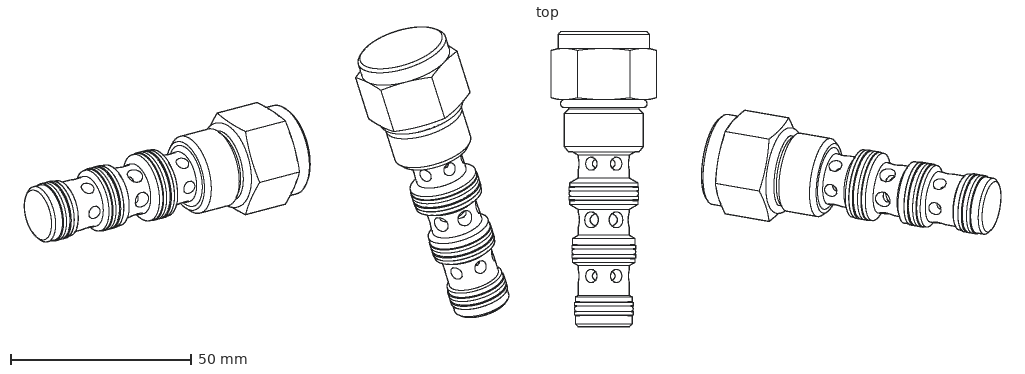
import cadquery as cq
import math


head_height = 18.9
across_flats = 25.4
hex_sides = 6
hex_height = 14.2
crown_chamfer = 0.8
hex_corner_angle = 15.0

neck_diameter = 19.6
neck_length = 2.6
shank_diameter = 22.05
shank_lead_in = 1.2
shank_end = 14.5
shank_end_chamfer_length = 1.5
collar_diameter = 17.4

nose_length = 63.0
stem_diameter = 14.3
cone_angle = 30.0
tip_chamfer = 0.8

ports_per_row = 6
port_rows = [(17.8, 3.6), (33.35, 4.35), (48.9, 3.6)]

upper_land = {"diameter": 19.0, "start": 23.1, "end": 29.1, "groove": 26.1, "floor": 16.2}
middle_land = {"diameter": 17.4, "start": 38.5, "end": 45.15, "groove": 42.2, "floor": 14.7}
lower_land = {"diameter": 15.8, "start": 54.75, "groove": 58.0, "floor": 13.3}

groove_width = 3.85
seal_gap = 0.2
backup_ring_width = 1.0
seal_thickness = 1.55

seat_ring_outer_diameter = 24.1
seat_ring_section = (seat_ring_outer_diameter - neck_diameter) / 2
seat_ring_depth = seat_ring_section / 2


def cone_length(large_diameter, small_diameter):
    """Axial length of a cone between two diameters."""
    return (large_diameter - small_diameter) / 2 * math.tan(math.radians(cone_angle))


def draw_seal_groove(outline, land):
    """Continue the outline through a land's groove and the seal set that fills it."""
    land_radius = land["diameter"] / 2
    floor_radius = land["floor"] / 2
    seal_radius = floor_radius + seal_thickness
    groove_start = land["groove"] - groove_width / 2
    groove_end = land["groove"] + groove_width / 2
    upper_backup_start = groove_start + seal_gap
    lower_backup_end = groove_end - seal_gap
    round_start = upper_backup_start + backup_ring_width
    round_end = lower_backup_end - backup_ring_width
    round_radius = seal_radius - (round_end - round_start) / 2
    return (
        outline.lineTo(land_radius, -groove_start)
        .lineTo(floor_radius, -groove_start)
        .lineTo(floor_radius, -upper_backup_start)
        .lineTo(seal_radius, -upper_backup_start)
        .lineTo(seal_radius, -round_start)
        .lineTo(round_radius, -round_start)
        .threePointArc((seal_radius, -land["groove"]), (round_radius, -round_end))
        .lineTo(seal_radius, -round_end)
        .lineTo(seal_radius, -lower_backup_end)
        .lineTo(floor_radius, -lower_backup_end)
        .lineTo(floor_radius, -groove_end)
        .lineTo(land_radius, -groove_end)
    )


def draw_land_start(outline, land):
    """Continue the outline along the stem and up the cone onto a land."""
    cone = cone_length(land["diameter"], stem_diameter)
    return (
        outline.lineTo(stem_diameter / 2, cone - land["start"])
        .lineTo(land["diameter"] / 2, -land["start"])
    )


def draw_land_end(outline, land):
    """Continue the outline to a land's far edge and down the cone to the stem."""
    cone = cone_length(land["diameter"], stem_diameter)
    return (
        outline.lineTo(land["diameter"] / 2, -land["end"])
        .lineTo(stem_diameter / 2, -land["end"] - cone)
    )


def make_turned_body():
    """Crown, neck, shank and nose, turned about the Y axis."""
    crown_radius = across_flats / 2
    neck_radius = neck_diameter / 2
    shank_radius = shank_diameter / 2
    collar_end = shank_end + cone_length(collar_diameter, stem_diameter)
    outline = (
        cq.Workplane("XY")
        .moveTo(0, head_height)
        .lineTo(crown_radius - crown_chamfer, head_height)
        .lineTo(crown_radius, head_height - crown_chamfer)
        .lineTo(crown_radius, 0)
        .lineTo(neck_radius, 0)
        .lineTo(neck_radius, -neck_length)
        .lineTo(shank_radius, -neck_length - shank_lead_in)
        .lineTo(shank_radius, shank_end_chamfer_length - shank_end)
        .lineTo(neck_radius, -shank_end)
        .lineTo(collar_diameter / 2, -shank_end)
        .lineTo(stem_diameter / 2, -collar_end)
    )
    for land in (upper_land, middle_land):
        outline = draw_land_start(outline, land)
        outline = draw_seal_groove(outline, land)
        outline = draw_land_end(outline, land)
    outline = draw_land_start(outline, lower_land)
    outline = draw_seal_groove(outline, lower_land)
    lower_radius = lower_land["diameter"] / 2
    outline = (
        outline.lineTo(lower_radius, tip_chamfer - nose_length)
        .lineTo(lower_radius - tip_chamfer, -nose_length)
        .lineTo(0, -nose_length)
        .close()
    )
    return outline.revolve(360, (0, 0, 0), (0, 1, 0))


def make_hexagon():
    """Hexagon with corners on the X axis, its corners coned off at both ends."""
    flat_radius = across_flats / 2
    corner_radius = flat_radius / math.cos(math.pi / hex_sides)
    slope = math.tan(math.radians(hex_corner_angle))
    corner_drop = (corner_radius - flat_radius) * slope
    prism = cq.Workplane("XZ").polygon(hex_sides, 2 * corner_radius).extrude(-hex_height)
    envelope = (
        cq.Workplane("XY")
        .moveTo(0, 0)
        .lineTo(flat_radius, 0)
        .lineTo(corner_radius, corner_drop)
        .lineTo(corner_radius, hex_height - corner_drop)
        .lineTo(flat_radius, hex_height)
        .lineTo(0, hex_height)
        .close()
        .revolve(360, (0, 0, 0), (0, 1, 0))
    )
    return prism.intersect(envelope)


def make_port_row(depth, diameter):
    """Cutter for one row of radial ports; each drill passes through two opposite ports."""
    cutter = cq.Workplane("XY")
    for index in range(ports_per_row // 2):
        drill = (
            cq.Workplane("YZ")
            .center(-depth, 0)
            .circle(diameter / 2)
            .extrude(stem_diameter, both=True)
            .rotate((0, 0, 0), (0, 1, 0), index * 360 / ports_per_row)
        )
        cutter = cutter.union(drill)
    return cutter


def make_cartridge():
    """Head, shank and ported nose as one solid."""
    cartridge = make_turned_body().union(make_hexagon())
    for depth, diameter in port_rows:
        cartridge = cartridge.cut(make_port_row(depth, diameter))
    return cartridge


def make_seat_ring():
    """O-ring around the neck, just under the hexagon."""
    section_radius = seat_ring_section / 2
    ring_radius = neck_diameter / 2 + section_radius
    return (
        cq.Workplane("XY")
        .center(ring_radius, -seat_ring_depth)
        .circle(section_radius)
        .revolve(360, (-ring_radius, 0, 0), (-ring_radius, 1, 0))
    )


cartridge = make_cartridge()
seat_ring = make_seat_ring()

result = cq.Compound.makeCompound([cartridge.val(), seat_ring.val()])